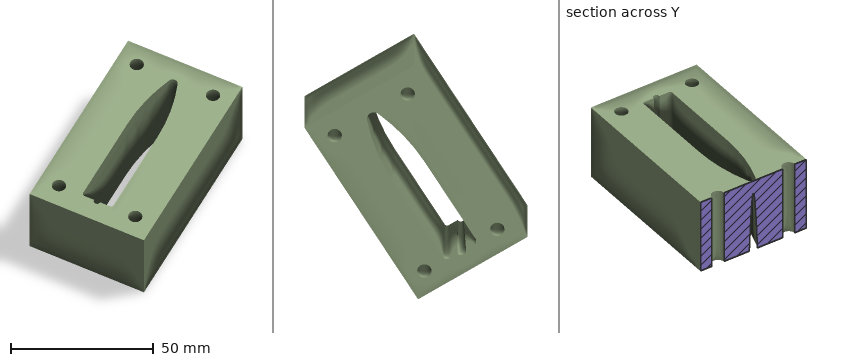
import cadquery as cq
import math

WIDTH = 45.0
LENGTH = 76.0
HEIGHT = 30.0

HOLE_DIAMETER = 5.0
HOLE_SPACING_X = 30.0
HOLE_SPACING_Y = 60.05

SLOT_LENGTH = 60.05
SLOT_WIDTH = 12.0
OGIVE_START_Y = 5.0
OGIVE_RADIUS = 67.65
TIP_RADIUS = 2.0
BASE_CORNER_RADIUS = 1.0
NOTCH_RADIUS = 1.2

MOUTH_DEPTH = 5.4
FLARE_ANGLE = 1.5


def slot_profile():
    """Return the slot outline: straight sides, tangent ogive arcs and a round tip."""
    half_width = SLOT_WIDTH / 2
    base_y = -SLOT_LENGTH / 2
    tip_centre_y = SLOT_LENGTH / 2 - TIP_RADIUS

    ogive_centre_x = half_width - OGIVE_RADIUS
    junction_angle = math.atan2(tip_centre_y - OGIVE_START_Y, -ogive_centre_x)

    def on_ogive(angle):
        return (
            ogive_centre_x + OGIVE_RADIUS * math.cos(angle),
            OGIVE_START_Y + OGIVE_RADIUS * math.sin(angle),
        )

    middle_x, middle_y = on_ogive(junction_angle / 2)
    junction_x, junction_y = on_ogive(junction_angle)
    return (
        cq.Workplane("XY")
        .moveTo(-half_width, base_y)
        .lineTo(half_width, base_y)
        .lineTo(half_width, OGIVE_START_Y)
        .threePointArc((middle_x, middle_y), (junction_x, junction_y))
        .threePointArc((0, SLOT_LENGTH / 2), (-junction_x, junction_y))
        .threePointArc((-middle_x, middle_y), (-half_width, OGIVE_START_Y))
        .close()
    )


def bullet_slot():
    """Return the slot cutter: a straight mouth above a body that widens downward."""
    prism = slot_profile().extrude(HEIGHT).edges("|Z and <Y").fillet(BASE_CORNER_RADIUS)
    notch = cq.Workplane("XY").center(0, -SLOT_LENGTH / 2).circle(NOTCH_RADIUS).extrude(HEIGHT)
    outline = prism.union(notch).faces("<Z").wires().val()
    flare_height = HEIGHT - MOUTH_DEPTH

    def extrude_from_mouth_bottom(distance, taper):
        sketch = cq.Workplane("XY").add(outline).toPending()
        return sketch.extrude(distance, taper=taper).translate((0, 0, flare_height))

    mouth = extrude_from_mouth_bottom(MOUTH_DEPTH, 0)
    flare = extrude_from_mouth_bottom(-flare_height, -FLARE_ANGLE)
    return mouth.union(flare)


def corner_holes():
    """Return the cutters for the four corner holes."""
    return (
        cq.Workplane("XY")
        .rect(HOLE_SPACING_X, HOLE_SPACING_Y, forConstruction=True)
        .vertices()
        .circle(HOLE_DIAMETER / 2)
        .extrude(HEIGHT)
    )


block = cq.Workplane("XY").box(WIDTH, LENGTH, HEIGHT, centered=(True, True, False))
result = block.cut(bullet_slot()).cut(corner_holes())